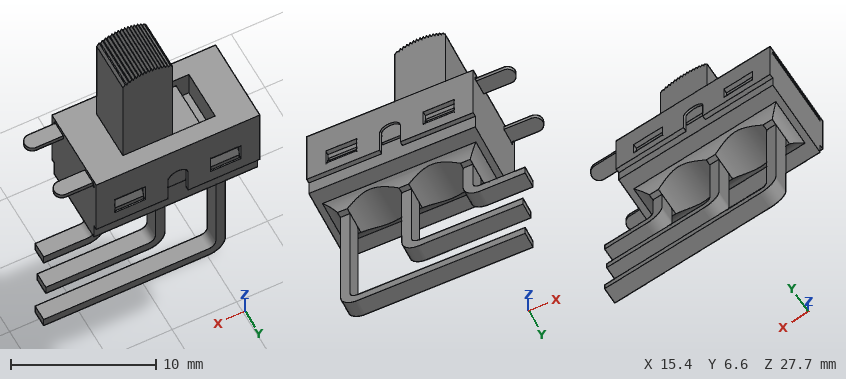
import cadquery as cq
import math


overall_length = 15.4
length = 12.7
housing_width = 6.6
housing_top = 6.7
base_height = 1.33
wall = 0.33
base_width = housing_width - 2 * wall

opening_length = 7.15
actuator_length = 3.85
actuator_width = 3.9
opening_depth = 2.22
carriage_top = housing_top - 0.7
carriage_offset = 1.0
actuator_top = 15.75

tooth_pitch = 0.25
tooth_tip_radius = 3.05
tooth_height = 0.28
shoulder_drop = 0.83

window_spacing = 7.43
window_length = 2.35
window_bottom = 2.4
window_top = 3.95
latch_length = 2.22
latch_ramp_bottom = 2.77
latch_ramp_top = 3.45
latch_reach = 0.22

notch_width = 1.58
notch_top = 4.2
notch_radius = notch_width / 2
pad_width = 1.41
pad_bottom = window_bottom
pad_reach = 0.17

clip_thickness = 0.35
clip_top = housing_top - 0.33
clip_bottom = clip_top - clip_thickness
clip_width = 5.6
prong_width = 1.2
prong_spacing = clip_width - prong_width
clip_setback = 0.08
clip_bevel = 0.17
clip_slot_width = 5.95
clip_slot_radius = 0.17

lead_pitch = 4.7
lead_thickness = 0.75
lead_width = 1.28
bend_inner_radius = 0.55
bend_outer_radius = bend_inner_radius + lead_thickness
lead_drop_step = 3.8
shortest_lead_drop = 4.38
reach_x = overall_length - length / 2
middle_lead_setback = 0.17

seal_depth = 0.65
seal_web_depth = 0.15
seal_half_length = 5.85
seal_top_width = 3.65
seal_bottom_width = 2.15
seal_flank_hollow = 0.08


def box(x0, x1, width, z0, z1, y=0):
    """Block from x0 to x1 and z0 to z1, width wide in Y and centred on y."""
    block = cq.Workplane("XY").box(x1 - x0, width, z1 - z0, centered=(False, True, False))
    return block.translate((x0, y, z0))


def centred_in_y(profile, width):
    """Extrude an XZ profile symmetrically about Y = 0."""
    return profile.extrude(width / 2, both=True)


def make_housing():
    base = box(-length / 2, length / 2, base_width, 0, base_height)
    shell = box(-length / 2, length / 2, housing_width, base_height, housing_top)
    return base.union(shell)


def make_notch(width):
    """Arched notch shape open at the bottom of the housing walls."""
    arch_centre = notch_top - notch_radius
    column = box(-notch_radius, notch_radius, width, base_height, arch_centre)
    arch = centred_in_y(cq.Workplane("XZ").center(0, arch_centre).circle(notch_radius), width)
    return column.union(arch)


def make_wall_openings():
    """Windows and notches cut through the thickness of both long walls."""
    cutter = make_notch(housing_width)
    for x in (-window_spacing / 2, window_spacing / 2):
        half = window_length / 2
        cutter = cutter.union(box(x - half, x + half, housing_width, window_bottom, window_top))
    core = box(-length / 2, length / 2, base_width, 0, housing_top)
    return cutter.cut(core)


def make_latches():
    """Wedges standing in the windows on both sides, ramped at the top."""
    inner = base_width / 2
    outer = inner + latch_reach
    profile = [
        (-inner, latch_ramp_top),
        (-outer, latch_ramp_bottom),
        (-outer, window_bottom),
        (outer, window_bottom),
        (outer, latch_ramp_bottom),
        (inner, latch_ramp_top),
    ]
    latch = cq.Workplane("YZ").polyline(profile).close().extrude(latch_length / 2, both=True)
    offset = window_spacing / 2
    return latch.translate((-offset, 0, 0)).union(latch.translate((offset, 0, 0)))


def make_notch_pads():
    """Raised pads filling the upper part of the notches, below the outer wall face."""
    pad_depth = base_width + 2 * pad_reach
    pad = box(-pad_width / 2, pad_width / 2, pad_depth, pad_bottom, notch_top)
    return pad.intersect(make_notch(housing_width))


def make_opening():
    """Slider opening, leaving the carriage standing inside it."""
    left = -opening_length / 2
    right = opening_length / 2
    opening = box(left, right, actuator_width, carriage_top, housing_top)
    gap = box(left, left + carriage_offset, actuator_width, housing_top - opening_depth, carriage_top)
    return opening.union(gap)


def make_actuator():
    half = actuator_length / 2
    shoulder = actuator_top - shoulder_drop
    valley_top = actuator_top - tooth_height
    valley_sag = valley_top - shoulder
    valley_radius = (half ** 2 + valley_sag ** 2) / (2 * valley_sag)

    def height_on_arc(x, top, radius):
        return top - radius + math.sqrt(radius ** 2 - x ** 2)

    teeth_per_side = int(half / tooth_pitch)
    outline = [(-half, carriage_top), (-half, shoulder)]
    for index in range(-teeth_per_side, teeth_per_side + 1):
        tip_x = index * tooth_pitch
        outline.append((tip_x, height_on_arc(tip_x, actuator_top, tooth_tip_radius)))
        if index < teeth_per_side:
            valley_x = tip_x + tooth_pitch / 2
            outline.append((valley_x, height_on_arc(valley_x, valley_top, valley_radius)))
    outline += [(half, shoulder), (half, carriage_top)]

    actuator = centred_in_y(cq.Workplane("XZ").polyline(outline).close(), actuator_width)
    return actuator.translate((opening_length / 2 - half, 0, 0))


def make_clip_slot():
    """Slot wider than the clip, with rounded upper corners, running the whole length of the housing."""
    slot = box(-length / 2, length / 2, clip_slot_width, clip_bottom, clip_top)
    return slot.edges("|X and >Z").fillet(clip_slot_radius)


def make_clip():
    """Plate in the slot with a bevelled leading edge and two round-ended prongs."""
    front = -length / 2 + clip_setback
    profile = [
        (front, clip_bottom),
        (length / 2, clip_bottom),
        (length / 2, clip_top),
        (front + clip_bevel, clip_top),
    ]
    clip = centred_in_y(cq.Workplane("XZ").polyline(profile).close(), clip_width)
    radius = prong_width / 2
    for y in (-prong_spacing / 2, prong_spacing / 2):
        shank = box(length / 2, reach_x - radius, prong_width, clip_bottom, clip_top, y)
        tip = cq.Workplane("XY").circle(radius).extrude(clip_thickness)
        clip = clip.union(shank).union(tip.translate((reach_x - radius, y, clip_bottom)))
    return clip


def make_lead(x, drop, end_x):
    """Flat lead going down at x, then bent to run along +X at the given drop."""
    left = x - lead_thickness / 2
    right = x + lead_thickness / 2
    bend_x = left + bend_outer_radius
    bend_z = -drop + bend_outer_radius
    diagonal = math.sqrt(0.5)
    profile = (
        cq.Workplane("XZ")
        .moveTo(left, 0)
        .lineTo(left, bend_z)
        .threePointArc(
            (bend_x - bend_outer_radius * diagonal, bend_z - bend_outer_radius * diagonal),
            (bend_x, -drop),
        )
        .lineTo(end_x, -drop)
        .lineTo(end_x, -drop + lead_thickness)
        .lineTo(bend_x, -drop + lead_thickness)
        .threePointArc(
            (bend_x - bend_inner_radius * diagonal, bend_z - bend_inner_radius * diagonal),
            (right, bend_z),
        )
        .lineTo(right, 0)
        .close()
    )
    return centred_in_y(profile, lead_width)


def make_leads():
    ends = (reach_x, reach_x - middle_lead_setback, reach_x)
    leads = None
    for index, end_x in enumerate(ends):
        drop = shortest_lead_drop + (len(ends) - 1 - index) * lead_drop_step
        lead = make_lead((index - 1) * lead_pitch, drop, end_x)
        leads = lead if leads is None else leads.union(lead)
    return leads


def hollow_point(lower, upper):
    """Middle of a flank rising outwards from lower to upper, pulled inwards and up by the hollow."""
    run = upper[0] - lower[0]
    rise = upper[1] - lower[1]
    slope_length = math.hypot(run, rise)
    middle_across = (lower[0] + upper[0]) / 2 - seal_flank_hollow * rise / slope_length
    middle_up = (lower[1] + upper[1]) / 2 + seal_flank_hollow * run / slope_length
    return middle_across, middle_up


def make_seal():
    """Compound that creeps down each lead and arches up between them."""
    half = lead_thickness / 2
    foot = lead_pitch + half
    end_x, end_z = hollow_point((foot, -seal_depth), (seal_half_length, 0))
    along = (
        cq.Workplane("XZ")
        .moveTo(-seal_half_length, 0)
        .threePointArc((-end_x, end_z), (-foot, -seal_depth))
        .lineTo(-lead_pitch + half, -seal_depth)
        .threePointArc((-lead_pitch / 2, -seal_web_depth), (-half, -seal_depth))
        .lineTo(half, -seal_depth)
        .threePointArc((lead_pitch / 2, -seal_web_depth), (lead_pitch - half, -seal_depth))
        .lineTo(foot, -seal_depth)
        .threePointArc((end_x, end_z), (seal_half_length, 0))
        .close()
    )
    top = seal_top_width / 2
    bottom = seal_bottom_width / 2
    flank_y, flank_z = hollow_point((bottom, -seal_depth), (top, 0))
    across = (
        cq.Workplane("YZ")
        .moveTo(-top, 0)
        .threePointArc((-flank_y, flank_z), (-bottom, -seal_depth))
        .lineTo(bottom, -seal_depth)
        .threePointArc((flank_y, flank_z), (top, 0))
        .close()
    )
    cross_section = across.extrude(seal_half_length, both=True)
    return centred_in_y(along, seal_top_width).intersect(cross_section)


result = make_housing().cut(make_wall_openings())
result = result.union(make_latches()).union(make_notch_pads())
result = result.cut(make_clip_slot()).union(make_clip())
result = result.cut(make_opening()).union(make_actuator())
result = result.union(make_leads()).union(make_seal())